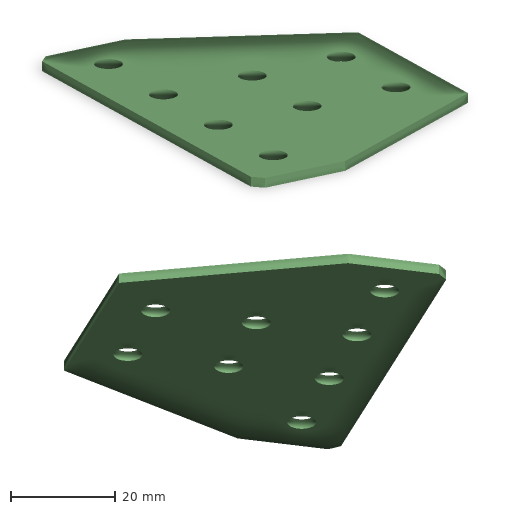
import cadquery as cq

pitch = 20.0
thickness = 2.0
hole_diameter = 5.5
corner_cut = 2.0

length = 4 * pitch
width = 3 * pitch
half_length = length / 2
half_top = pitch
shoulder_y = pitch

row_counts = [4, 2, 2]


def plate():
    """Tapered plate with its long edge on Y = 0 and both base corners cut."""
    outline = [
        (-half_length + corner_cut, 0),
        (half_length - corner_cut, 0),
        (half_length, corner_cut),
        (half_length, shoulder_y),
        (half_top, width),
        (-half_top, width),
        (-half_length, shoulder_y),
        (-half_length, corner_cut),
    ]
    return cq.Workplane("XY").polyline(outline).close().extrude(thickness)


def hole_centers():
    """Centers of the cells that carry a hole, row by row."""
    centers = []
    for row, count in enumerate(row_counts):
        y = (row + 0.5) * pitch
        for column in range(count):
            x = (column - (count - 1) / 2) * pitch
            centers.append((x, y))
    return centers


holes = cq.Workplane("XY").pushPoints(hole_centers()).circle(hole_diameter / 2).extrude(thickness)

result = plate().cut(holes)